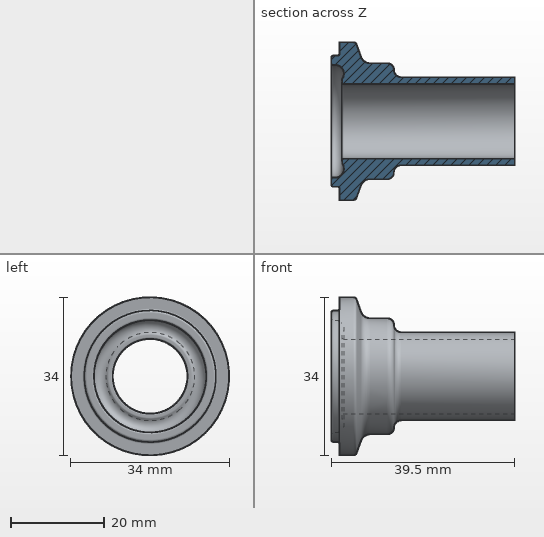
import cadquery as cq
import math

total_length = 39.5
flange_face_x = 1.8
flange_arc_x = 4.8
hub_start_x = 8.35
hub_end_x = 13.55
ring_face_x = 2.3
groove_x = 0.9

flange_radius = 34.0 / 2
lip_radius = 28.3 / 2
hub_radius = 25.0 / 2
pipe_radius = 19.0 / 2
bore_radius = 16.0 / 2
lip_face_radius = 12.55
groove_radius = 10.25

lip_round = 0.55
lip_root_round = 0.4
flange_round = 0.75
hub_root_round = 2.0
shoulder_round = 1.5
pipe_root_round = 1.5
groove_rim_round = 0.5
ring_round = 0.43
ring_outer_round = 0.62


def on_circle(center, radius, degrees):
    """Point (x, r) on a profile circle at an angle from +X."""
    angle = math.radians(degrees)
    return (center[0] + radius * math.cos(angle), center[1] + radius * math.sin(angle))


def follow_arc(profile, center, radius, start, end):
    """Arc continuing from the current profile point, which lies at its start angle."""
    middle = on_circle(center, radius, (start + end) / 2)
    return profile.threePointArc(middle, on_circle(center, radius, end))


def line_and_arc(profile, center, radius, start, end):
    """Line to the start of a profile arc, then follow the arc to its end angle."""
    profile = profile.lineTo(*on_circle(center, radius, start))
    return follow_arc(profile, center, radius, start, end)


def cone_normal_angle(convex, convex_radius, concave, concave_radius):
    """Angle from +X of the normal to the cone tangent to both of its end arcs."""
    run = concave[0] - convex[0]
    drop = convex[1] - concave[1]
    reach = math.hypot(run, drop)
    turn = math.acos((convex_radius + concave_radius) / reach)
    return math.degrees(turn - math.atan2(drop, run))


def outer_profile(profile):
    """Outside of the part, from the lip face to the rear end of the pipe."""
    lip_edge = (lip_round, lip_radius - lip_round)
    profile = line_and_arc(profile, lip_edge, lip_round, 180, 90)
    lip_root = (flange_face_x - lip_root_round, lip_radius + lip_root_round)
    profile = line_and_arc(profile, lip_root, lip_root_round, 270, 360)
    profile = profile.lineTo(flange_face_x, flange_radius)

    flange_rim = (flange_arc_x, flange_radius - flange_round)
    hub_root = (hub_start_x, hub_radius + hub_root_round)
    slope = cone_normal_angle(flange_rim, flange_round, hub_root, hub_root_round)
    profile = line_and_arc(profile, flange_rim, flange_round, 90, slope)
    profile = line_and_arc(profile, hub_root, hub_root_round, 180 + slope, 270)

    shoulder = (hub_end_x - shoulder_round, hub_radius - shoulder_round)
    pipe_root = (hub_end_x + pipe_root_round, pipe_radius + pipe_root_round)
    profile = line_and_arc(profile, shoulder, shoulder_round, 90, 0)
    profile = follow_arc(profile, pipe_root, pipe_root_round, 180, 270)
    return profile.lineTo(total_length, pipe_radius)


def inner_profile(profile):
    """Bore, inner ring and front groove, from the rear end back to the lip face."""
    profile = profile.lineTo(total_length, bore_radius)
    ring_inner = (ring_face_x + ring_round, bore_radius + ring_round)
    profile = line_and_arc(profile, ring_inner, ring_round, 270, 180)

    groove = (groove_x, groove_radius)
    rim = (groove_rim_round, lip_face_radius)
    rim_offset_x = groove[0] - rim[0]
    rim_offset_r = rim[1] - groove[1]
    groove_round = math.hypot(rim_offset_x, rim_offset_r) - groove_rim_round
    rim_lean = math.degrees(math.atan2(rim_offset_x, rim_offset_r))

    ring_center_x = ring_face_x + ring_outer_round
    reach = groove_round + ring_outer_round
    tilt = math.degrees(math.acos((ring_center_x - groove[0]) / reach))
    ring_outer = on_circle(groove, reach, -tilt)

    profile = line_and_arc(profile, ring_outer, ring_outer_round, 180, 180 - tilt)
    profile = follow_arc(profile, groove, groove_round, -tilt, 90 + rim_lean)
    return follow_arc(profile, rim, groove_rim_round, 270 + rim_lean, 180)


start = cq.Workplane("XY").moveTo(0, lip_face_radius)
section = inner_profile(outer_profile(start)).close()
result = section.revolve(360, (0, 0, 0), (1, 0, 0))